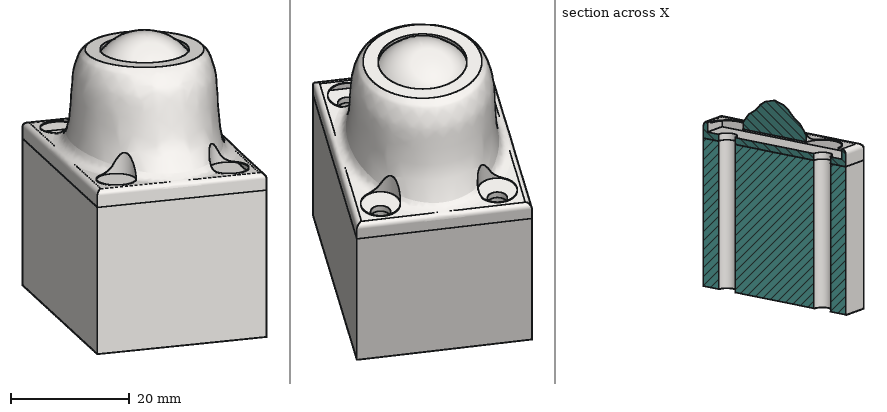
import cadquery as cq

length = 40.0
width = 30.0
total_height = 49.3
base_height = 26.0

flange_thickness = 3.0
flange_top = base_height + flange_thickness
edge_radius = 1.0
wall_thickness = 1.0
floor_thickness = 1.2
lid_thickness = 0.15

bell_top = 46.35
bell_top_radius = 10.0
bell_sections = [
    (flange_top, 18.5, 13.15),
    (32.8, 15.9, 12.4),
    (36.7, 14.55, 12.2),
    (41.7, 13.35, 11.95),
    (44.6, 12.0, 11.25),
    (bell_top, bell_top_radius, bell_top_radius),
]
foot_radius = 2.25

ball_radius = 9.5
ball_center_height = total_height - ball_radius
opening_radius = 7.5

screw_spacing_x = 29.95
screw_spacing_y = 20.0
screw_hole_diameter = 3.4
access_diameter = 6.7

stock_margin = 9.85
selection_tolerance = 0.25


def screw_positions(height):
    """Workplane at a height with the four screw positions as points."""
    return (
        cq.Workplane("XY")
        .workplane(offset=height)
        .rarray(screw_spacing_x, screw_spacing_y, 2, 2)
    )


def corner_cylinders(diameter, bottom, top):
    """Four upright cylinders at the screw positions."""
    return screw_positions(bottom).circle(diameter / 2).extrude(top - bottom)


def make_flange_cavity():
    """Flat hollow inside the flange, between its floor, side walls and thin lid."""
    return (
        cq.Workplane("XY")
        .workplane(offset=base_height + floor_thickness)
        .rect(length - 2 * wall_thickness, width - 2 * wall_thickness)
        .extrude(flange_thickness - floor_thickness - lid_thickness)
    )


def make_sphere():
    return cq.Workplane("XY").sphere(ball_radius).translate((0, 0, ball_center_height))


def make_bell():
    """Smooth loft from an ellipse on the flange to the circular top."""
    wires = []
    for height, half_x, half_y in bell_sections:
        section = cq.Workplane("XY").workplane(offset=height).ellipse(half_x, half_y)
        wires.append(section.wires().val())
    return cq.Workplane(cq.Solid.makeLoft(wires))


def edges_near_flange_top(size_x, size_y):
    """Selector for edges centred close to the flange top within a given area."""
    return cq.selectors.BoxSelector(
        (-size_x / 2, -size_y / 2, flange_top - selection_tolerance),
        (size_x / 2, size_y / 2, flange_top + selection_tolerance),
    )


def make_base():
    block = cq.Workplane("XY").box(length, width, base_height, centered=(True, True, False))
    return block.cut(corner_cylinders(screw_hole_diameter, 0, base_height))


def make_cover():
    stock = (
        cq.Workplane("XY")
        .workplane(offset=base_height)
        .rect(length + stock_margin, width + stock_margin)
        .extrude(flange_thickness)
    )
    body = stock.union(make_bell())
    body = body.edges(edges_near_flange_top(length, width)).fillet(foot_radius)

    cavity_floor = base_height + floor_thickness
    body = body.cut(make_flange_cavity())
    body = body.cut(corner_cylinders(screw_hole_diameter, base_height, cavity_floor))
    body = body.cut(corner_cylinders(access_diameter, cavity_floor, bell_top))

    outline = (
        cq.Workplane("XY")
        .workplane(offset=base_height)
        .rect(length, width)
        .extrude(total_height - base_height)
    )
    body = body.intersect(outline)
    side_faces = body.faces("<X or >X or <Y or >Y")
    rim = side_faces.edges("not(|Z)").edges(edges_near_flange_top(2 * length, 2 * width))
    body = rim.fillet(edge_radius)

    opening = (
        cq.Workplane("XY")
        .workplane(offset=ball_center_height)
        .circle(opening_radius)
        .extrude(bell_top - ball_center_height)
    )
    return body.cut(make_sphere()).cut(opening)


base = make_base()
cover = make_cover()
ball = make_sphere()

result = cq.Compound.makeCompound([base.solids().val(), cover.solids().val(), ball.val()])